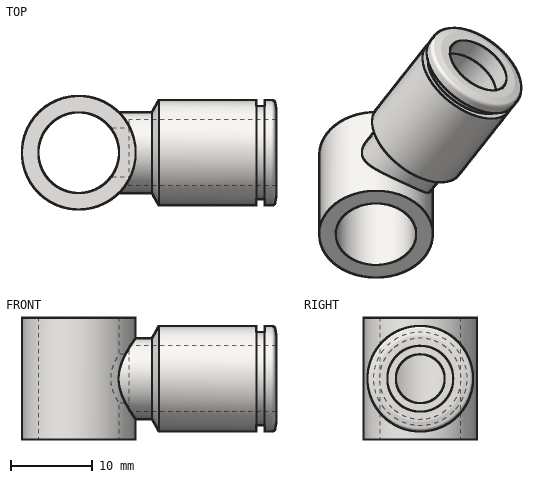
import cadquery as cq

ring_diameter = 14.0
ring_bore_diameter = 9.9
ring_height = 15.0

neck_diameter = 10.0
socket_diameter = 13.0
shoulder_start = 8.98
shoulder_end = 9.83
socket_end = 21.82
port_diameter = 6.0
tube_bore_diameter = 8.1
tube_bore_start = 6.17

overall_length = 31.3
collar_end = overall_length - ring_diameter / 2
groove_diameter = 11.5
groove_width = 1.0
rim_start = socket_end + groove_width
rim_rounding_radius = 0.47
rim_rounding_start = 23.7
rim_face_diameter = 10.6
collar_bore_diameter = tube_bore_diameter


def x_cylinder(diameter, start, end):
    """Solid cylinder along the X axis between two positions."""
    return cq.Workplane("YZ").workplane(offset=start).circle(diameter / 2).extrude(end - start)


def revolve_about_x(profile):
    """Revolve a closed XY profile a full turn about the X axis."""
    return profile.close().revolve(360, (0, 0, 0), (1, 0, 0))


def make_housing():
    """Ring and socket in one piece, with the passage joining their bores."""
    ring = cq.Workplane("XY").circle(ring_diameter / 2).extrude(ring_height / 2, both=True)
    socket = revolve_about_x(
        cq.Workplane("XY")
        .lineTo(0, neck_diameter / 2)
        .lineTo(shoulder_start, neck_diameter / 2)
        .lineTo(shoulder_end, socket_diameter / 2)
        .lineTo(socket_end, socket_diameter / 2)
        .lineTo(socket_end, 0)
    )
    ring_bore = cq.Workplane("XY").circle(ring_bore_diameter / 2).extrude(ring_height, both=True)
    port = x_cylinder(port_diameter, 0, tube_bore_start)
    tube_bore = x_cylinder(tube_bore_diameter, tube_bore_start, socket_end)
    return ring.union(socket).cut(ring_bore).cut(port).cut(tube_bore)


def make_collar():
    """Release collar: a narrow stem carrying a rim with a rounded edge and a conical lead."""
    bore_radius = collar_bore_diameter / 2
    stem_radius = groove_diameter / 2
    rim_radius = socket_diameter / 2
    rounding_end = (rim_rounding_start + rim_rounding_radius, rim_radius - rim_rounding_radius)
    return revolve_about_x(
        cq.Workplane("XY")
        .moveTo(socket_end, bore_radius)
        .lineTo(socket_end, stem_radius)
        .lineTo(rim_start, stem_radius)
        .lineTo(rim_start, rim_radius)
        .lineTo(rim_rounding_start, rim_radius)
        .radiusArc(rounding_end, rim_rounding_radius)
        .lineTo(collar_end, rim_face_diameter / 2)
        .lineTo(collar_end, bore_radius)
    )


housing = make_housing()
collar = make_collar()

result = cq.Compound.makeCompound([housing.val(), collar.val()])